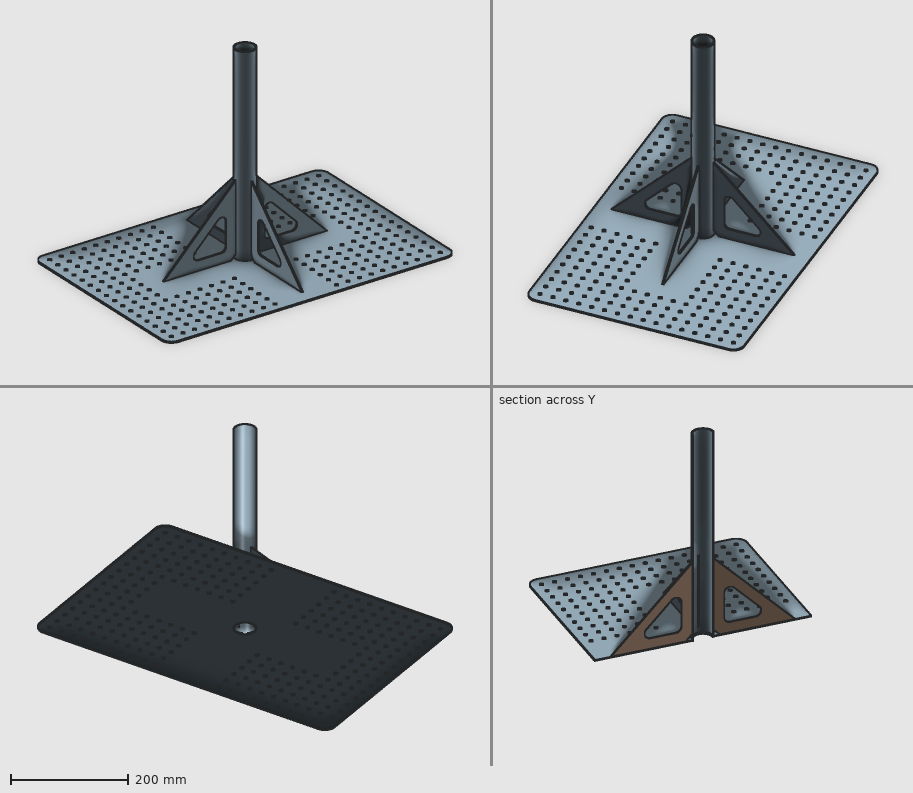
import cadquery as cq
import math

plate_length = 600.0
plate_width = plate_length * 2 / 3
plate_thickness = 3.0

hole_radius = 3.25
hole_pitch = 24.0
hole_columns = 16
hole_rows_per_end = 10
full_rows_per_end = 4
side_columns = 6
hole_margin = (plate_width - (hole_columns - 1) * hole_pitch) / 2

plate_corner_radius = hole_margin

total_height = plate_width
tube_diameter = total_height / 10
tube_wall = 2.0
tube_radius = tube_diameter / 2

gusset_count = 4
gusset_leg = 150.0
gusset_thickness = 3.0
gusset_border = 20.0
window_fillet = 10.0
corner_relief = 10.0


def hole_centers():
    """Grid at both ends of the plate; the inner rows skip the middle columns."""
    centers = []
    for row in range(hole_rows_per_end):
        y = plate_length / 2 - hole_margin - row * hole_pitch
        for column in range(hole_columns):
            x = -plate_width / 2 + hole_margin + column * hole_pitch
            in_side_block = column < side_columns or column >= hole_columns - side_columns
            if row < full_rows_per_end or in_side_block:
                centers += [(x, y), (x, -y)]
    return centers


def make_plate():
    """Perforated plate with rounded corners and a hole that takes the tube."""
    plate = (
        cq.Workplane("XY")
        .rect(plate_width, plate_length)
        .extrude(plate_thickness)
        .edges("|Z")
        .fillet(plate_corner_radius)
    )
    perforation = (
        cq.Workplane("XY")
        .pushPoints(hole_centers())
        .circle(hole_radius)
        .extrude(plate_thickness)
    )
    tube_hole = cq.Workplane("XY").circle(tube_radius).extrude(plate_thickness)
    return plate.cut(perforation).cut(tube_hole)


def make_tube():
    """Open round tube through the full height."""
    return (
        cq.Workplane("XY")
        .circle(tube_radius)
        .circle(tube_radius - tube_wall)
        .extrude(total_height)
    )


def gusset_slab(outline):
    """Extrude an outline in the XZ plane to the gusset thickness, centred on Y = 0."""
    return outline.close().extrude(gusset_thickness / 2, both=True)


def make_gusset(angle):
    """Triangular gusset with a rounded window, turned about the tube axis."""
    outline = (
        cq.Workplane("XZ")
        .moveTo(tube_radius + corner_relief, plate_thickness)
        .lineTo(tube_radius + gusset_leg, plate_thickness)
        .lineTo(tube_radius, plate_thickness + gusset_leg)
        .lineTo(tube_radius, plate_thickness + corner_relief)
    )
    web = gusset_slab(outline)

    window_leg = gusset_leg - gusset_border * (2 + math.sqrt(2))
    window_x = tube_radius + gusset_border
    window_z = plate_thickness + gusset_border
    window_outline = (
        cq.Workplane("XZ")
        .moveTo(window_x, window_z)
        .lineTo(window_x + window_leg, window_z)
        .lineTo(window_x, window_z + window_leg)
    )
    window = gusset_slab(window_outline).edges("|Y").fillet(window_fillet)

    gusset = web.cut(window)
    return gusset.rotate((0, 0, 0), (0, 0, 1), angle)


plate = make_plate().solids()
tube = make_tube().solids()
gussets = []
for index in range(gusset_count):
    gusset = make_gusset(index * 360 / gusset_count)
    gussets.append(gusset.solids().val())

result = cq.Compound.makeCompound([plate.val(), tube.val(), *gussets])